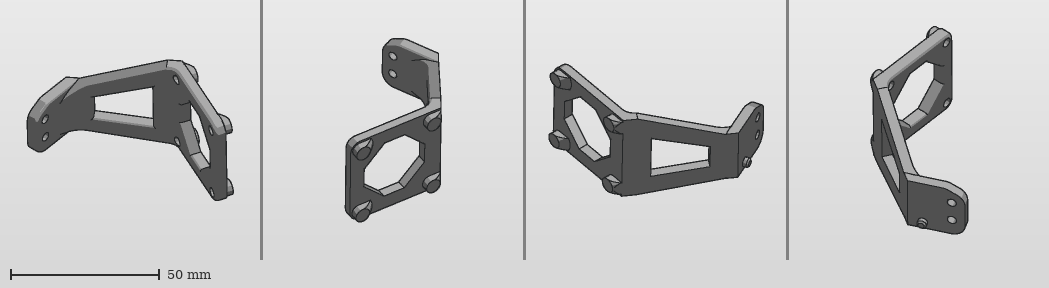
import cadquery as cq
import math

tip_angle = 1.0
wall = 4.05

plate_length = 20.2
plate_height = 20.5
plate_corner_radius = 5.0
plate_slope_run = 6.85
plate_slope_drop = 3.3
plate_edge_fillet = 1.0
screw_hole_diameter = 3.2
screw_hole_spacing = 8.0
screw_hole_from_end = 4.65
lower_screw_height = 6.5
pin_diameter = 3.4
pin_length = 2.0
pin_chamfer = 0.6
pin_from_end = 14.9
pin_height = 2.8

arm_angle = 34.0
arm_length = 39.5
plate_bend_radius = 10.875
upper_slope_start = 4.7
lower_slope_start = 4.8
window_start = 9.55
window_end = 29.7
window_start_heights = (6.2, 15.4)
window_end_heights = (4.4, 21.8)

fan_angle = -25.125
fan_size = 35.0
fan_bottom = -3.5
fan_run = 35.85
fan_bend_radius = 4.75
fan_corner_radius = 4.0
fan_hole_diameter = 3.3
fan_hole_inset = 3.5
fan_hole_depth = 6.0
opening_size = 24.0
opening_corner_cut = 8.0
boss_diameter = 5.4
boss_height = 2.625

rim_fillet = 1.5
opening_fillet = 1.0

fan_top = fan_bottom + fan_size
fan_middle = fan_bottom + fan_size / 2
fan_center = fan_run - fan_size / 2
fan_hole_spacing = fan_size - 2 * fan_hole_inset
plate_bend_tangent = math.tan(math.radians(90 - arm_angle) / 2)
fan_bend_tangent = math.tan(math.radians(arm_angle - fan_angle) / 2)
slope_end = arm_length - (wall + fan_bend_radius) * fan_bend_tangent
upper_slope = (fan_top - plate_height) / (slope_end - upper_slope_start)
lower_slope = fan_bottom / (slope_end - lower_slope_start)

reach = 200.0
overlap = 4.0
tall_margin = 15.0
tolerance = 1e-3


def along(start, angle, distance, inward=0.0):
    """Point at a distance from start along an angle, moved inward to the right of travel."""
    a = math.radians(angle)
    return (
        start[0] + distance * math.cos(a) + inward * math.sin(a),
        start[1] + distance * math.sin(a) - inward * math.cos(a),
    )


def wall_plane(corner, angle):
    """Plane on an outer wall face: local x runs along the wall, y is up and the normal points inward."""
    return cq.Plane(
        origin=(*corner, 0),
        xDir=(*along((0, 0), angle, 1), 0),
        normal=(*along((0, 0), angle, 0, 1), 0),
    )


plate_corner = (0.0, 0.0)
fan_corner = along(plate_corner, arm_angle, arm_length)
inner_plate_corner = along(plate_corner, arm_angle, wall * plate_bend_tangent, wall)
inner_fan_corner = along(fan_corner, fan_angle, wall * fan_bend_tangent, wall)
arm_plane = wall_plane(plate_corner, arm_angle)
fan_plane = wall_plane(fan_corner, fan_angle)


def outside_arm():
    """Everything beyond the outer face of the arm."""
    return cq.Workplane(arm_plane).rect(reach, reach).extrude(-reach)


def make_plate():
    """Flat plate with a sloped, rounded end; its top runs on to the outer face of the arm."""
    joint = wall * math.tan(math.radians(arm_angle))
    outline = [
        (joint, 0),
        (joint, plate_height),
        (plate_slope_run - plate_length, plate_height),
        (-plate_length, plate_height - plate_slope_drop),
        (-plate_length, 0),
    ]
    plate = cq.Workplane("YZ").polyline(outline).close().extrude(wall)
    free_corners = [edge for edge in plate.edges("|X").vals() if edge.Center().y < 0]
    plate = plate.newObject(free_corners).fillet(plate_corner_radius)
    inner_edges = [edge for edge in plate.faces(">X").edges().vals() if edge.Center().y < joint - tolerance]
    plate = plate.newObject(inner_edges).fillet(plate_edge_fillet)
    return plate.cut(outside_arm())


def bent_wall(bottom, top):
    """Wall of constant height that follows the arm and the fan frame, with both inner bends rounded."""
    start_y = -(wall + plate_bend_radius) * plate_bend_tangent - overlap
    wall_solid = (
        cq.Workplane("XY", origin=(0, 0, bottom))
        .moveTo(0, start_y)
        .lineTo(*plate_corner)
        .lineTo(*fan_corner)
        .lineTo(*along(fan_corner, fan_angle, fan_run))
        .lineTo(*along(fan_corner, fan_angle, fan_run, wall))
        .lineTo(*inner_fan_corner)
        .lineTo(*inner_plate_corner)
        .lineTo(wall, start_y)
        .close()
        .extrude(top - bottom)
    )
    for corner, radius in ((inner_fan_corner, fan_bend_radius), (inner_plate_corner, plate_bend_radius)):
        nearest = cq.selectors.NearestToPointSelector((*corner, (bottom + top) / 2))
        wall_solid = wall_solid.edges("|Z").edges(nearest).fillet(radius)
    return wall_solid


def inner_face(solid, corner, angle, distance):
    """Inner face of a wall, found near a point at a distance along it."""
    place = (*along(corner, angle, distance, wall), fan_middle)
    return solid.faces(cq.selectors.NearestToPointSelector(place))


def is_upright(edge):
    return edge.geomType() == "LINE" and abs(edge.tangentAt(0).z) > 1 - tolerance


def make_frame_wall():
    """Wall of fan height with rounded free corners and a rounded inner rim."""
    frame = bent_wall(fan_bottom, fan_top)
    end_middle = (*along(fan_corner, fan_angle, fan_run, wall / 2), fan_middle)
    free_end = cq.selectors.NearestToPointSelector(end_middle)
    free_corners = [edge for edge in frame.faces(free_end).edges().vals() if not is_upright(edge)]
    frame = frame.newObject(free_corners).fillet(fan_corner_radius)
    rim = [
        edge
        for edge in inner_face(frame, fan_corner, fan_angle, fan_center).edges().vals()
        if not is_upright(edge) or fan_plane.toLocalCoords(edge.Center()).x > fan_center
    ]
    return frame.newObject(rim).fillet(rim_fillet)


def make_sloped_wall():
    """Wall whose upper and lower sides slope apart from the plate, with rounded inner edges."""
    def upper(distance):
        return plate_height + upper_slope * (distance - upper_slope_start)

    def lower(distance):
        return lower_slope * (distance - lower_slope_start)

    start = -2 * overlap
    end = arm_length + fan_run
    outline = [(start, lower(start)), (start, upper(start)), (end, upper(end)), (end, lower(end))]
    between_slopes = cq.Workplane(arm_plane).polyline(outline).close().extrude(reach)
    sloped = bent_wall(fan_bottom - tall_margin, fan_top + tall_margin).intersect(between_slopes)
    arm_face = inner_face(sloped, plate_corner, arm_angle, arm_length / 2)
    rim = [edge for edge in arm_face.edges().vals() if not is_upright(edge)]
    return sloped.newObject(rim).fillet(rim_fillet)


def cut_rounded_hole(body, plane, outline):
    """Cut an outline through a wall and round its edge on the inner face."""
    cutter = cq.Workplane(plane).polyline(outline).close().extrude(wall)
    body = body.cut(cutter)
    inner_side = cutter.faces(cq.selectors.DirectionMinMaxSelector(plane.zDir))
    places = [edge.Center() for edge in inner_side.edges().vals()]
    rim = [
        edge
        for edge in body.edges().vals()
        if any((edge.Center() - place).Length < tolerance for place in places)
    ]
    return body.newObject(rim).fillet(opening_fillet)


def window_outline():
    """Four-sided window that widens along the arm."""
    return [
        (window_start, window_start_heights[0]),
        (window_start, window_start_heights[1]),
        (window_end, window_end_heights[1]),
        (window_end, window_end_heights[0]),
    ]


def opening_outline():
    """Square fan opening with cut corners."""
    half = opening_size / 2
    flat = half - opening_corner_cut
    corners = []
    for x, y in ((1, 1), (-1, 1), (-1, -1), (1, -1)):
        pair = [(x * half, y * flat), (x * flat, y * half)]
        corners += pair if x == y else pair[::-1]
    return [(fan_center + x, fan_middle + y) for x, y in corners]


def fan_hole_places():
    half = fan_hole_spacing / 2
    return [(fan_center + i * half, fan_middle + j * half) for i in (-1, 1) for j in (-1, 1)]


def make_boss(place):
    """Screw boss behind the frame: round on one side, flared at 45 degrees towards the arm."""
    radius = boss_diameter / 2
    flare = radius + boss_height
    base = cq.Workplane(fan_plane).center(*place)
    cone = base.circle(flare).workplane(offset=-boss_height).circle(radius).loft()
    slot = (
        cq.Workplane(fan_plane)
        .center(*place)
        .moveTo(-flare, -radius)
        .lineTo(0, -radius)
        .threePointArc((radius, 0), (0, radius))
        .lineTo(-flare, radius)
        .close()
        .extrude(-boss_height)
    )
    return cone.intersect(slot).cut(outside_arm())


def make_pin():
    """Locating pin on the outer face of the plate."""
    return (
        cq.Workplane("YZ")
        .center(pin_from_end - plate_length, pin_height)
        .circle(pin_diameter / 2)
        .extrude(-pin_length)
        .faces("<X")
        .chamfer(pin_chamfer)
    )


def fan_holes():
    """Blind screw holes that enter the frame from its inner side and end inside the bosses."""
    return (
        cq.Workplane(fan_plane)
        .workplane(offset=wall - fan_hole_depth)
        .pushPoints(fan_hole_places())
        .circle(fan_hole_diameter / 2)
        .extrude(fan_hole_depth + fan_bend_radius)
    )


def plate_holes():
    """Screw holes through the mounting plate."""
    y = screw_hole_from_end - plate_length
    return (
        cq.Workplane("YZ")
        .pushPoints([(y, lower_screw_height), (y, lower_screw_height + screw_hole_spacing)])
        .circle(screw_hole_diameter / 2)
        .extrude(wall)
    )


body = make_frame_wall().intersect(make_sloped_wall())
body = cut_rounded_hole(body, arm_plane, window_outline())
body = cut_rounded_hole(body, fan_plane, opening_outline())
body = body.union(make_plate()).union(make_pin())
for boss_place in fan_hole_places():
    body = body.union(make_boss(boss_place))
body = body.cut(fan_holes()).cut(plate_holes())

result = body.rotate((0, 0, 0), (0, 1, 0), -tip_angle)